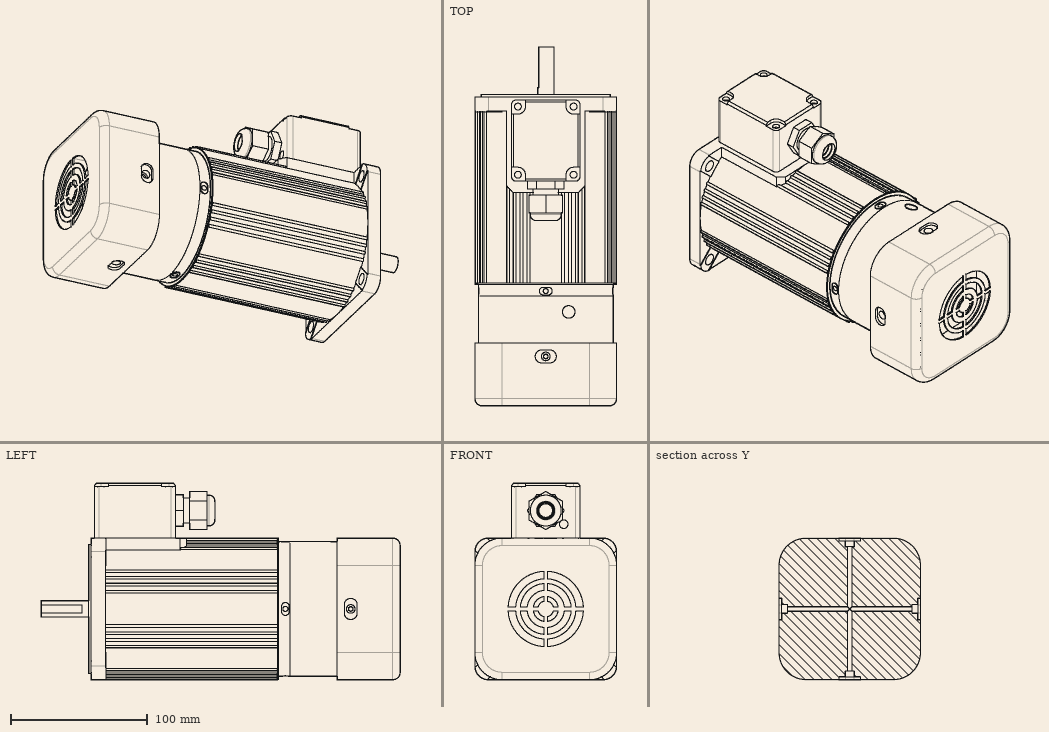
import cadquery as cq
import math


frame_size = 104.0
frame_half = frame_size / 2
total_length = 263.0
total_height = 144.0
side_angles = (0, 90, 180, 270)

shaft_radius = 6.0
shaft_reach = 36.5
shaft_socket_depth = 10.0
flat_length = 29.7
flat_distance = 5.3

flange_thickness = 10.5
flange_corner_radius = 10.0
pilot_radius = 47.3
pilot_height = 1.8
barrel_end = -136.5
end_ring_radius = 51.8
end_ring_thickness = 0.8
spigot_length = 8.5
spigot_screw_y = -142.3
spigot_screw_radius = 1.8
spigot_screw_depth = 5.3
bolt_circle_radius = 60.0
bolt_hole_radius = 4.2
bolt_pad_width = 12.5
bolt_pad_height = 0.5
rib_angles = (14, 20, 26, 32)
rib_radius = 1.0
seat_width = 57.5
seat_end = -70.0
seat_chamfer = 4.7

sleeve_radius = 49.5
sleeve_wall = 0.5
sleeve_end = -180.2
sleeve_slot_length = 9.5
sleeve_slot_width = 5.5
cable_hole_radius = 4.6
cable_hole_x = 16.8
cable_hole_y = -157.5

ring_end = barrel_end - end_ring_thickness
spigot_radius = sleeve_radius - sleeve_wall

cover_end = shaft_reach - total_length
cover_corner_radius = 20.0
cover_edge_radius = 5.5
cover_cavity_depth = 31.5
cover_wall = 5.0
grille_thickness = 1.0
grille_rings = ((22.0, 27.5), (13.7, 18.7), (5.8, 9.2))
spoke_width = 3.0
cover_screw_y = -190.1
cover_slot_length = 15.5
cover_slot_width = 9.5
cover_slot_depth = 2.0
counterbore_radius = 3.2
counterbore_depth = 4.2
cover_hole_radius = 1.5

box_width = 50.2
box_front = -2.4
box_length = 59.5
box_edge_radius = 3.5
box_top = total_height - frame_half
lid_thickness = 2.5
lid_chamfer_width = 1.5
lid_chamfer_height = 1.8
lid_screw_inset = 4.7
lid_screw_radius = 2.5
lid_screw_depth = 2.5
lid_pad_radius = 5.5
box_rear = box_front - box_length
side_hole_x = 13.2
side_hole_z = 62.0
side_hole_radius = 3.2
side_hole_depth = 4.0

gland_z = 72.0
base_hex_flats = 23.1
base_hex_length = 5.8
gland_neck_radius = 9.2
gland_neck_length = 4.5
nut_hex_flats = 24.2
nut_hex_length = 13.0
cap_radius = 11.3
cap_length = 5.8
cap_round = 4.5
gland_bores = ((6.5, 2.5), (5.8, 5.3), (5.0, 8.0))


def facing_rear(y, x=0, z=0):
    """Workplane at position y along the axis whose normal points to -Y."""
    return cq.Workplane("XZ", origin=(x, y, z))


def rounded_square(y, size, corner_radius, depth):
    """Square plate about the axis from y towards -Y, with rounded corners."""
    plate = facing_rear(y).rect(size, size).extrude(depth)
    return plate.edges("|Y").fillet(corner_radius)


def turned_about_axis(body, angle):
    return body.rotate((0, 0, 0), (0, 1, 0), angle)


def screw_slot(y, face_distance, length, width, depth):
    """Rounded slot cutter, lying across the axis on the top face."""
    plane = cq.Workplane("XY", origin=(0, y, face_distance - depth))
    return plane.slot2D(length, width).extrude(depth + width)


def make_shaft():
    length = shaft_reach + shaft_socket_depth
    shaft = facing_rear(shaft_reach).circle(shaft_radius).extrude(length)
    flat = cq.Workplane("XY").box(
        shaft_radius, flat_length, 2 * shaft_radius, centered=(False, False, True)
    )
    return shaft.cut(flat.translate((-flat_distance - shaft_radius, shaft_reach - flat_length, 0)))


def make_bolt_pads():
    """Raised strips on the rear of the flange, running radially out to its corners."""
    pad_depth = flange_thickness + bolt_pad_height
    strip = facing_rear(0).rect(2 * frame_size, bolt_pad_width).extrude(pad_depth)
    strips = turned_about_axis(strip, 45).union(turned_about_axis(strip, -45))
    return strips.intersect(rounded_square(0, frame_size, flange_corner_radius, pad_depth))


def add_ribs(barrel):
    """Half-round ribs along the barrel, in a group on each side of the four main directions."""
    rib = facing_rear(0, z=frame_half).circle(rib_radius).extrude(-barrel_end)
    for quarter in side_angles:
        for offset in rib_angles:
            for angle in (quarter - offset, quarter + offset):
                barrel = barrel.union(turned_about_axis(rib, angle))
    return barrel


def make_seat():
    """Flat-topped seat for the terminal box, level with the top of the flange."""
    seat = cq.Workplane("XY").box(
        seat_width, -seat_end, frame_half, centered=(True, False, False)
    )
    return seat.translate((0, seat_end, 0)).edges("|Z and <Y").chamfer(seat_chamfer)


def make_rear_end():
    """End ring of the barrel and the spigot that carries the sleeve, with its screw holes."""
    ring = facing_rear(barrel_end).circle(end_ring_radius).extrude(end_ring_thickness)
    spigot = facing_rear(ring_end).circle(spigot_radius).extrude(spigot_length)
    screw_hole = (
        cq.Workplane("XY", origin=(0, spigot_screw_y, spigot_radius - spigot_screw_depth))
        .circle(spigot_screw_radius)
        .extrude(2 * spigot_screw_depth)
    )
    for angle in side_angles:
        spigot = spigot.cut(turned_about_axis(screw_hole, angle))
    return ring.union(spigot)


def make_housing():
    barrel = facing_rear(0).circle(frame_half).extrude(-barrel_end)
    barrel = add_ribs(barrel)
    flange = rounded_square(0, frame_size, flange_corner_radius, flange_thickness)
    pilot = facing_rear(pilot_height).circle(pilot_radius).extrude(pilot_height)
    housing = barrel.union(flange).union(make_bolt_pads()).union(make_seat()).union(pilot)
    housing = housing.union(make_rear_end())
    bolt_spacing = bolt_circle_radius * math.sqrt(2)
    bolt_holes = (
        facing_rear(0)
        .rect(bolt_spacing, bolt_spacing, forConstruction=True)
        .vertices()
        .circle(bolt_hole_radius)
        .extrude(flange_thickness + bolt_pad_height)
    )
    return housing.cut(bolt_holes).cut(make_shaft())


def make_sleeve():
    sleeve = (
        facing_rear(ring_end)
        .circle(sleeve_radius)
        .circle(spigot_radius)
        .extrude(ring_end - sleeve_end)
    )
    cable_hole = (
        cq.Workplane("XY", origin=(cable_hole_x, cable_hole_y, 0))
        .circle(cable_hole_radius)
        .extrude(sleeve_radius)
    )
    sleeve = sleeve.cut(cable_hole)
    slot = screw_slot(
        spigot_screw_y, sleeve_radius, sleeve_slot_length, sleeve_slot_width, 2 * sleeve_wall
    )
    for angle in side_angles:
        sleeve = sleeve.cut(turned_about_axis(slot, angle))
    return sleeve


def make_grille_openings():
    rings = cq.Workplane("XY")
    for inner_radius, outer_radius in grille_rings:
        ring = (
            facing_rear(cover_end + grille_thickness)
            .circle(outer_radius)
            .circle(inner_radius)
            .extrude(grille_thickness)
        )
        rings = rings.union(ring)
    spoke = (
        facing_rear(cover_end + grille_thickness)
        .rect(frame_size, spoke_width)
        .extrude(grille_thickness)
    )
    return rings.cut(spoke).cut(turned_about_axis(spoke, 90))


def make_fan_cover():
    cover = rounded_square(sleeve_end, frame_size, cover_corner_radius, sleeve_end - cover_end)
    cover = cover.faces("<Y").edges().fillet(cover_edge_radius)
    cavity = rounded_square(
        cover_end + cover_cavity_depth,
        frame_size - 2 * cover_wall,
        cover_corner_radius - cover_wall,
        cover_cavity_depth - grille_thickness,
    )
    cover = cover.cut(cavity).cut(make_grille_openings())
    slot = screw_slot(
        cover_screw_y, frame_half, cover_slot_length, cover_slot_width, cover_slot_depth
    )
    counterbore_floor = frame_half - cover_slot_depth - counterbore_depth
    counterbore = (
        cq.Workplane("XY", origin=(0, cover_screw_y, counterbore_floor))
        .circle(counterbore_radius)
        .extrude(counterbore_depth)
    )
    hole = (
        cq.Workplane("XY", origin=(0, cover_screw_y, 0))
        .circle(cover_hole_radius)
        .extrude(frame_half)
    )
    for angle in side_angles:
        cover = cover.cut(turned_about_axis(slot.union(counterbore).union(hole), angle))
    return cover


def make_lid_corner_cut(side, end):
    """Cutter that lowers one lid corner around its screw; side and end are -1 or +1."""
    screw_x = side * (box_width / 2 - lid_screw_inset)
    screw_y = box_front - box_length / 2 + end * (box_length / 2 - lid_screw_inset)
    plane = cq.Workplane("XY", origin=(screw_x, screw_y, box_top - lid_thickness))
    cut = plane.circle(lid_pad_radius).extrude(lid_thickness)
    reach = 2 * lid_pad_radius
    along_x = plane.center(side * reach / 2, 0).rect(reach, reach).extrude(lid_thickness)
    along_y = plane.center(0, end * reach / 2).rect(reach, reach).extrude(lid_thickness)
    screw_hole = plane.circle(lid_screw_radius).extrude(-lid_screw_depth)
    return cut.union(along_x).union(along_y).union(screw_hole)


def make_terminal_box():
    box = cq.Workplane("XY").box(
        box_width, box_length, box_top - frame_half, centered=(True, False, False)
    )
    box = box.translate((0, box_rear, frame_half)).edges("|Z").fillet(box_edge_radius)
    box = box.faces(">Z").edges().chamfer(lid_chamfer_height, lid_chamfer_width)
    for side in (-1, 1):
        for end in (-1, 1):
            box = box.cut(make_lid_corner_cut(side, end))
    side_hole = (
        facing_rear(box_rear + side_hole_depth, side_hole_x, side_hole_z)
        .circle(side_hole_radius)
        .extrude(side_hole_depth)
    )
    return box.cut(side_hole)


def make_hexagon(y, flats, length, turn):
    corner_diameter = 2 * flats / math.sqrt(3)
    prism = facing_rear(y).polygon(6, corner_diameter).extrude(length)
    return turned_about_axis(prism, turn).translate((0, 0, gland_z))


def make_gland():
    neck_start = box_rear - base_hex_length
    nut_start = neck_start - gland_neck_length
    cap_start = nut_start - nut_hex_length
    cap_end = cap_start - cap_length
    base = make_hexagon(box_rear, base_hex_flats, base_hex_length, 0)
    neck = facing_rear(neck_start, z=gland_z).circle(gland_neck_radius).extrude(gland_neck_length)
    nut = make_hexagon(nut_start, nut_hex_flats, nut_hex_length, 30)
    cap = facing_rear(cap_start, z=gland_z).circle(cap_radius).extrude(cap_length)
    cap = cap.faces("<Y").edges().fillet(cap_round)
    gland = base.union(neck).union(nut).union(cap)
    for radius, depth in gland_bores:
        bore = facing_rear(cap_end + depth, z=gland_z).circle(radius).extrude(depth)
        gland = gland.cut(bore)
    return gland


shaft = make_shaft()
housing = make_housing()
sleeve = make_sleeve()
fan_cover = make_fan_cover()
terminal_box = make_terminal_box()
gland = make_gland()

result = cq.Compound.makeCompound(
    [body.val() for body in (shaft, housing, sleeve, fan_cover, terminal_box, gland)]
)